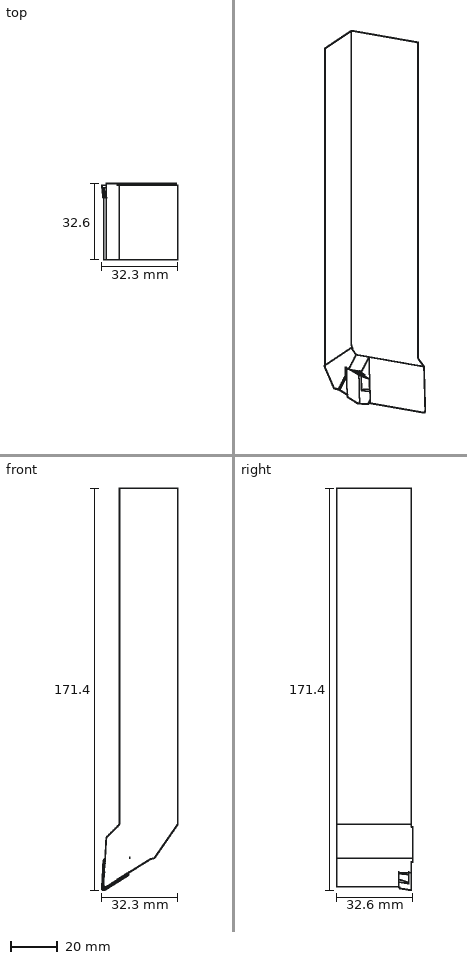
import cadquery as cq
import math

SHANK_WIDTH = 24.8
SHANK_DEPTH = 31.9
TOOL_LENGTH = 171.4

FLARE_REACH = 5.7
FLARE_TOP_Z = 28.1
FLARE_FILLET = 1.7
HEEL_X = 13.2
BACK_X = 14.9
BACK_FOOT_Z = 13.7
BACK_TOP_Z = 28.1
HEAD_NOSE_RADIUS = 0.9
PAD_HEIGHT = 0.7
PAD_TOP_Z = 27.0

INSERT_EDGE = 13.7
INSERT_THICKNESS = 5.5
NOSE_ANGLE = 55.0
NOSE_RADIUS = 0.9
OBTUSE_RADIUS = 1.2
NOSE_OVERHANG = 7.5
EDGE_SLOPE = 32.0
SIDE_SLOPE = EDGE_SLOPE + NOSE_ANGLE
LIP_THICKNESS = 1.2
RELIEF_ANGLE = 5.0

RECESS_START = 6.3
RECESS_DEPTH_AT_LIP = 0.3
RECESS_RAMP_AT_LIP = 0.7
RECESS_DEPTH_AT_FLOOR = 1.0
RECESS_RAMP_AT_FLOOR = 1.5
RECESS_MARGIN = 1.7

BEVEL_HEIGHT = 1.5
BEVEL_LENGTH = 2.4

SIDE_OVERHANG = 0.7
EDGE_OVERHANG = 0.9

NOSE_SINE = math.sin(math.radians(NOSE_ANGLE))
FLOOR_Y = SHANK_DEPTH - INSERT_THICKNESS


def direction(angle):
    """Unit vector in the XZ plane, measured from +X towards +Z."""
    return math.cos(math.radians(angle)), math.sin(math.radians(angle))


SIDE_DIR = direction(SIDE_SLOPE)
EDGE_DIR = direction(EDGE_SLOPE)
BISECTOR = direction((SIDE_SLOPE + EDGE_SLOPE) / 2)

CORNER_TO_CENTRE = NOSE_RADIUS / math.sin(math.radians(NOSE_ANGLE / 2))
CORNER_X = NOSE_RADIUS - NOSE_OVERHANG - CORNER_TO_CENTRE * BISECTOR[0]
CORNER_Z = NOSE_RADIUS - CORNER_TO_CENTRE * BISECTOR[1]


def insert_point(along_side, along_edge):
    """XZ point reached from the sharp corner along the two sides of the rhombus."""
    return (
        CORNER_X + along_side * SIDE_DIR[0] + along_edge * EDGE_DIR[0],
        CORNER_Z + along_side * SIDE_DIR[1] + along_edge * EDGE_DIR[1],
    )


RHOMBUS_CORNERS = [
    insert_point(0, 0),
    insert_point(INSERT_EDGE, 0),
    insert_point(INSERT_EDGE, INSERT_EDGE),
    insert_point(0, INSERT_EDGE),
]


def prism(points, y_bottom, y_top, taper=0):
    """Extrude an XZ outline down from y_top to y_bottom."""
    plane = cq.Workplane("XZ", origin=(0, y_top, 0))
    return plane.polyline(points).close().extrude(y_top - y_bottom, taper=taper)


def rhombus(y_bottom, y_top, taper=0):
    """Rounded insert shape that narrows by the taper from y_top to y_bottom."""
    body = prism(RHOMBUS_CORNERS, y_bottom, y_top, taper)
    middle_y = (y_bottom + y_top) / 2
    radii = [NOSE_RADIUS, OBTUSE_RADIUS, NOSE_RADIUS, OBTUSE_RADIUS]
    for (x, z), radius in zip(RHOMBUS_CORNERS, radii):
        nearest = cq.selectors.NearestToPointSelector((x, middle_y, z))
        body = body.edges("not(#Y)").edges(nearest).fillet(radius)
    return body


head_corner = insert_point(EDGE_OVERHANG / NOSE_SINE, SIDE_OVERHANG / NOSE_SINE)
edge_rise = EDGE_DIR[1] / EDGE_DIR[0]
flare_corner = (-FLARE_REACH, FLARE_TOP_Z - FLARE_REACH)
heel = (HEEL_X, head_corner[1] + (HEEL_X - head_corner[0]) * edge_rise)


def head_outline():
    """Corners of the head, from the foot of the shank around to the top of the back."""
    return [
        (0, FLARE_TOP_Z),
        flare_corner,
        head_corner,
        heel,
        (BACK_X, BACK_FOOT_Z),
        (SHANK_WIDTH, BACK_TOP_Z),
    ]


def notch_wall_point(x):
    """Point on the wall that falls from the flare corner towards the heel."""
    return x, flare_corner[1] - (x - flare_corner[0]) * edge_rise


def below_notch_wall(y_bottom, y_top):
    left = -2 * NOSE_OVERHANG
    right = SHANK_WIDTH
    bottom = -INSERT_EDGE
    outline = [notch_wall_point(left), notch_wall_point(right), (right, bottom), (left, bottom)]
    return prism(outline, y_bottom, y_top)


def make_holder():
    outline = head_outline() + [(SHANK_WIDTH, TOOL_LENGTH), (0, TOOL_LENGTH)]
    holder = prism(outline, 0, SHANK_DEPTH)
    middle_y = SHANK_DEPTH / 2
    for (x, z), radius in (((0, FLARE_TOP_Z), FLARE_FILLET), (head_corner, HEAD_NOSE_RADIUS)):
        nearest = cq.selectors.NearestToPointSelector((x, middle_y, z))
        holder = holder.edges("|Y").edges(nearest).fillet(radius)

    pad_top_y = SHANK_DEPTH + PAD_HEIGHT
    pad = prism(head_outline(), SHANK_DEPTH, pad_top_y)
    slab = cq.Workplane("XY", origin=(-NOSE_OVERHANG, SHANK_DEPTH, 0))
    slab = slab.box(SHANK_WIDTH + NOSE_OVERHANG, PAD_HEIGHT, PAD_TOP_Z, centered=False)
    pad = pad.intersect(slab)
    holder = holder.union(pad.cut(below_notch_wall(SHANK_DEPTH, pad_top_y)))

    seat = prism(RHOMBUS_CORNERS, FLOOR_Y, pad_top_y)
    far = INSERT_EDGE
    notch_reach = 3 * far
    above_insert = prism(
        [
            insert_point(far, -far),
            insert_point(far, far),
            insert_point(notch_reach, far),
            insert_point(notch_reach, -far),
        ],
        FLOOR_Y,
        pad_top_y,
    )
    notch = below_notch_wall(FLOOR_Y, pad_top_y).intersect(above_insert)
    return holder.cut(seat).cut(notch)


def recess_outline(depth, ramp, mirrored):
    """Cutter outline around one obtuse corner, reaching part of the way along both its edges."""
    inset = depth / NOSE_SINE
    end = INSERT_EDGE - RECESS_START
    outside = INSERT_EDGE + RECESS_MARGIN
    steps = [
        (RECESS_START, -RECESS_MARGIN),
        (RECESS_START, 0),
        (RECESS_START + ramp, inset),
        (INSERT_EDGE - inset, inset),
        (INSERT_EDGE - inset, end - ramp),
        (INSERT_EDGE, end),
        (outside, end),
        (outside, -RECESS_MARGIN),
    ]
    if mirrored:
        steps = [(along_edge, along_side) for along_side, along_edge in steps]
    return [insert_point(along_side, along_edge) for along_side, along_edge in steps]


def recess_cutter(mirrored):
    at_lip = recess_outline(RECESS_DEPTH_AT_LIP, RECESS_RAMP_AT_LIP, mirrored)
    at_floor = recess_outline(RECESS_DEPTH_AT_FLOOR, RECESS_RAMP_AT_FLOOR, mirrored)
    lip_plane = cq.Workplane("XZ", origin=(0, SHANK_DEPTH - LIP_THICKNESS, 0))
    lip_section = lip_plane.polyline(at_lip).close()
    floor_section = lip_section.workplane(offset=INSERT_THICKNESS - LIP_THICKNESS)
    return floor_section.polyline(at_floor).close().loft(ruled=True)


def make_insert():
    body = rhombus(FLOOR_Y, SHANK_DEPTH, RELIEF_ANGLE)
    for mirrored in (False, True):
        body = body.cut(recess_cutter(mirrored))

    bevel_plane = cq.Plane(
        origin=(CORNER_X, FLOOR_Y, CORNER_Z),
        xDir=(BISECTOR[0], 0, BISECTOR[1]),
        normal=(-BISECTOR[1], 0, BISECTOR[0]),
    )
    reach = CORNER_TO_CENTRE - NOSE_RADIUS + BEVEL_LENGTH
    bevel = (
        cq.Workplane(bevel_plane)
        .polyline([(0, 0), (reach, 0), (0, BEVEL_HEIGHT)])
        .close()
        .extrude(INSERT_EDGE, both=True)
    )
    return body.cut(bevel)


holder = make_holder()
insert = make_insert()
result = cq.Compound.makeCompound([holder.solids().val(), insert.solids().val()])